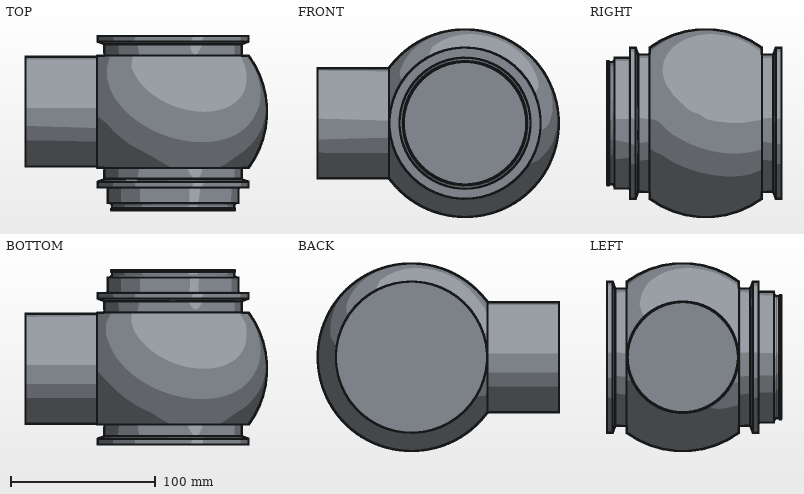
import cadquery as cq
import math

OVERALL_LENGTH = 167.0
BALL_DIAMETER = 130.1
BALL_RADIUS = BALL_DIAMETER / 2
BALL_X = OVERALL_LENGTH - BALL_RADIUS
PORT_SEAT = 38.8
BRANCH_SEAT = 52.5

BRANCH_DIAMETER = 76.2

NECK_DIAMETER = 95.2
FLANGE_DIAMETER = 104.5
FLANGE_FACE = 52.5
RIM_THICKNESS = 4.0
BEVEL_LENGTH = 1.7

SPIGOT_DIAMETER = 90.5
SPIGOT_LENGTH = 10.7
LIP_DIAMETER = 85.9
LIP_GROOVE_DIAMETER = 84.7
LIP_END = 68.3
LIP_ROOT_FILLET = 1.5
LIP_BEAD_WIDTH = 1.7
LIP_BEAD_BEVEL = 0.5

NECK_FILLET = 0.7
BEVEL_FILLET = 0.5
SPIGOT_FILLET = 0.5
RING_TOLERANCE = 0.2


def make_ball():
    """Ball turned around the port axis, then cut flat on the branch side."""
    seat_radius = math.sqrt(BALL_RADIUS**2 - PORT_SEAT**2)
    ball = (
        cq.Workplane("XY")
        .moveTo(0, -PORT_SEAT)
        .lineTo(seat_radius, -PORT_SEAT)
        .threePointArc((BALL_RADIUS, 0), (seat_radius, PORT_SEAT))
        .lineTo(0, PORT_SEAT)
        .close()
        .revolve(360, (0, 0, 0), (0, 1, 0))
    )
    length = BRANCH_SEAT + BALL_RADIUS
    envelope = cq.Workplane("XY").box(
        length, 2 * BALL_RADIUS, 2 * BALL_RADIUS, centered=(False, True, True)
    )
    return ball.intersect(envelope.translate((-BRANCH_SEAT, 0, 0)))


def revolve_about_y(profile):
    """Turn (radius, y) points into a solid around the port axis."""
    return cq.Workplane("XY").polyline(profile).close().revolve(360, (0, 0, 0), (0, 1, 0))


def make_flanged_port():
    """Neck and bevelled flange on the +Y side, starting at the ball centre."""
    neck_radius = NECK_DIAMETER / 2
    flange_radius = FLANGE_DIAMETER / 2
    rim_back = FLANGE_FACE - RIM_THICKNESS
    return revolve_about_y([
        (0, 0),
        (neck_radius, 0),
        (neck_radius, rim_back - BEVEL_LENGTH),
        (flange_radius, rim_back),
        (flange_radius, FLANGE_FACE),
        (0, FLANGE_FACE),
    ])


def make_spigot():
    """Spigot and grooved lip, pointing to -Y from the flange face."""
    spigot_radius = SPIGOT_DIAMETER / 2
    lip_radius = LIP_DIAMETER / 2
    groove_radius = LIP_GROOVE_DIAMETER / 2
    shoulder = FLANGE_FACE + SPIGOT_LENGTH
    bead_start = LIP_END - LIP_BEAD_WIDTH
    return revolve_about_y([
        (0, -FLANGE_FACE),
        (spigot_radius, -FLANGE_FACE),
        (spigot_radius, -shoulder),
        (groove_radius, -shoulder),
        (groove_radius, -bead_start),
        (lip_radius, -bead_start - LIP_BEAD_BEVEL),
        (lip_radius, -LIP_END + LIP_BEAD_BEVEL),
        (groove_radius, -LIP_END),
        (0, -LIP_END),
    ])


def fillet_ring(solid, diameter, y, fillet):
    """Round the circular edge of the given diameter that lies at height y on the port axis."""
    reach = diameter / 2 + RING_TOLERANCE
    near = y - RING_TOLERANCE
    far = y + RING_TOLERANCE
    ring = cq.selectors.BoxSelector((-reach, near, -reach), (reach, far, reach), boundingbox=True)
    outermost = cq.selectors.RadiusNthSelector(-1)
    return solid.edges("%CIRCLE").edges(ring).edges(outermost).fillet(fillet)


def make_branch():
    """Plain round pipe from the ball centre to its -X end."""
    return cq.Workplane("YZ").circle(BRANCH_DIAMETER / 2).extrude(-BALL_X)


flanged_port = make_flanged_port()
body = make_ball().union(make_branch())
body = body.union(flanged_port).union(flanged_port.mirror("XZ")).union(make_spigot())

neck_end = FLANGE_FACE - RIM_THICKNESS - BEVEL_LENGTH
shoulder = FLANGE_FACE + SPIGOT_LENGTH
body = fillet_ring(body, NECK_DIAMETER, -PORT_SEAT, NECK_FILLET)
body = fillet_ring(body, NECK_DIAMETER, -neck_end, NECK_FILLET)
body = fillet_ring(body, NECK_DIAMETER, neck_end, BEVEL_FILLET)
body = fillet_ring(body, SPIGOT_DIAMETER, -FLANGE_FACE, SPIGOT_FILLET)
body = fillet_ring(body, LIP_GROOVE_DIAMETER, -shoulder, LIP_ROOT_FILLET)

result = body.translate((BALL_X, 0, 0))